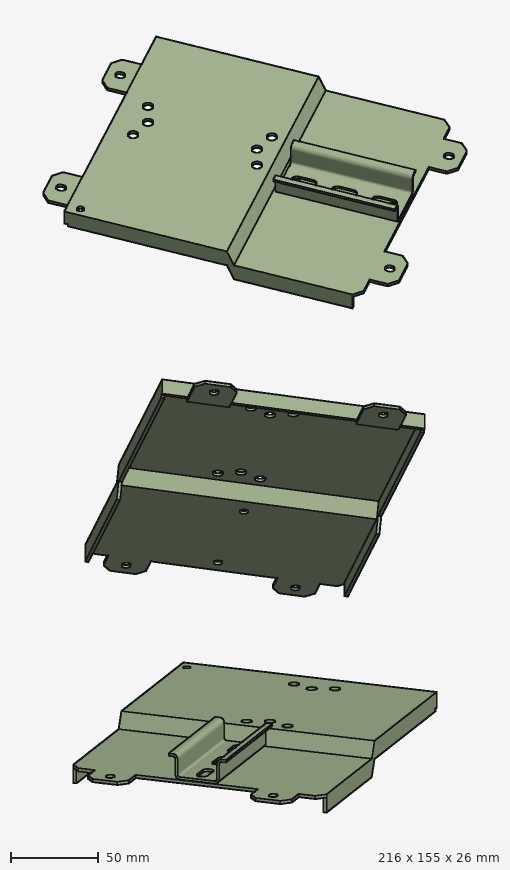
import cadquery as cq
import math

plate_width = 155.0
sheet = 2.0
skirt_height = 11.0
low_top = skirt_height
high_top = 20.5
wall_x = -88.0
jog_start_x = 10.8
jog_end_x = 15.1
plate_end_x = 92.0
corner_chamfer = 5.0

tab_tip_x = 108.0
tab_width = 25.0
tab_y = 50.0
tab_hole_inset = 8.2
tab_hole_length = 5.8
tab_hole_width = 5.0

pattern_x = -35.0
pattern_y = 8.6
pattern_pitch_y = 12.5
outer_hole_reach = 37.5
inner_hole_reach = 33.0
pattern_hole_diameter = 6.0
corner_hole_at = (-80.0, -72.4)
corner_hole_diameter = 4.0

rail_start_x = 17.3
rail_length = 73.9
rail_height = 15.0
rail_sheet = 1.5
rail_width = 35.0
channel_width = 27.0
bend_radius = 1.5
slot_length = 15.1
slot_width = 6.5
slot_pitch = 24.5
slot_offsets = (-slot_pitch, 0, slot_pitch)
rail_hole_reach = 29.4
rail_hole_diameter = 5.0

jog_drop = high_top - low_top
high_bottom = high_top - skirt_height
wall_inner_x = wall_x + sheet
skirt_end_x = plate_end_x - corner_chamfer
jog_angle = math.atan2(jog_drop, jog_end_x - jog_start_x)
bend_shift = sheet * math.tan(jog_angle / 2)
rail_middle_x = rail_start_x + rail_length / 2
drill_depth = 2 * high_top


def extrude_along_y(points, y_start, length):
    """Extrude an XZ outline from y_start towards +Y."""
    return cq.Workplane("XZ", origin=(0, y_start, 0)).polyline(points).close().extrude(-length)


def make_stepped_sheet():
    """End wall, upper step, slope and lower step as one bent sheet."""
    outline = [
        (wall_x, low_top),
        (wall_x, high_top),
        (jog_start_x, high_top),
        (jog_end_x, low_top),
        (plate_end_x, low_top),
        (plate_end_x, low_top - sheet),
        (jog_end_x - bend_shift, low_top - sheet),
        (jog_start_x - bend_shift, high_top - sheet),
        (wall_inner_x, high_top - sheet),
        (wall_inner_x, low_top),
    ]
    body = extrude_along_y(outline, -plate_width / 2, plate_width)
    return body.edges("|Z and >X").chamfer(corner_chamfer)


def make_skirt(y_start):
    """Side skirt that follows both steps; its foot is set back behind the end wall."""
    outline = [
        (wall_x, low_top),
        (wall_x, high_top),
        (jog_start_x, high_top),
        (jog_end_x, low_top),
        (skirt_end_x, low_top),
        (skirt_end_x, 0),
        (jog_end_x, 0),
        (jog_start_x, high_bottom),
        (wall_inner_x, high_bottom),
        (wall_inner_x, low_top),
    ]
    return extrude_along_y(outline, y_start, sheet)


def make_tab(root_x, side, y):
    """Flat tab from root_x to its chamfered tip; side is -1 for -X and +1 for +X."""
    tip_x = side * tab_tip_x
    tab = (
        cq.Workplane("XY", origin=((root_x + tip_x) / 2, y, low_top - sheet))
        .rect(abs(tip_x - root_x), tab_width)
        .extrude(sheet)
        .edges("|Z and <X" if side < 0 else "|Z and >X")
        .chamfer(corner_chamfer)
    )
    hole = (
        cq.Workplane("XY", origin=(tip_x - side * tab_hole_inset, y, 0))
        .slot2D(tab_hole_length, tab_hole_width)
        .extrude(drill_depth)
    )
    return tab.cut(hole)


def drill(points, diameter):
    """Cylinders that cut through the full height of the plate."""
    return cq.Workplane("XY").pushPoints(points).circle(diameter / 2).extrude(drill_depth)


def make_plate():
    plate = make_stepped_sheet()
    for skirt_y in (-plate_width / 2, plate_width / 2 - sheet):
        plate = plate.union(make_skirt(skirt_y))
    for y in (-tab_y, tab_y):
        plate = plate.union(make_tab(wall_inner_x, -1, y))
        plate = plate.union(make_tab(plate_end_x, 1, y))

    pattern = []
    for side in (-1, 1):
        pattern.append((pattern_x + side * inner_hole_reach, pattern_y))
        for row in (-1, 1):
            pattern.append((pattern_x + side * outer_hole_reach, pattern_y + row * pattern_pitch_y))
    rail_holes = [(rail_middle_x + side * rail_hole_reach, 0) for side in (-1, 1)]

    plate = plate.cut(drill(pattern, pattern_hole_diameter))
    plate = plate.cut(drill([corner_hole_at], corner_hole_diameter))
    return plate.cut(drill(rail_holes, rail_hole_diameter))


def make_rail():
    """Top-hat rail: a slotted channel with outward lips, bent from sheet."""
    web_outer = channel_width / 2
    web_inner = web_outer - rail_sheet
    lip_edge = rail_width / 2
    half_outline = [
        (0, 0),
        (web_outer, 0),
        (web_outer, rail_height - rail_sheet),
        (lip_edge, rail_height - rail_sheet),
        (lip_edge, rail_height),
        (web_inner, rail_height),
        (web_inner, rail_sheet),
        (0, rail_sheet),
    ]
    half = (
        cq.Workplane("YZ", origin=(rail_start_x, 0, low_top))
        .polyline(half_outline)
        .close()
        .extrude(rail_length)
    )

    def bend_edge(y, z):
        """Picks the lengthwise edge at width y and height z above the lower step."""
        return cq.selectors.NearestToPointSelector((rail_middle_x, y, low_top + z))

    concave_edges = bend_edge(web_inner, rail_sheet) + bend_edge(web_outer, rail_height - rail_sheet)
    half = half.edges(concave_edges).fillet(bend_radius)
    convex_edges = bend_edge(web_outer, 0) + bend_edge(web_inner, rail_height)
    half = half.edges(convex_edges).fillet(bend_radius + rail_sheet)

    slots = (
        cq.Workplane("XY", origin=(rail_middle_x, 0, low_top))
        .pushPoints([(offset, 0) for offset in slot_offsets])
        .slot2D(slot_length, slot_width)
        .extrude(rail_sheet)
    )
    return half.union(half.mirror("XZ")).cut(slots)


plate = make_plate().solids()
rail = make_rail().solids()

result = cq.Compound.makeCompound([plate.val(), rail.val()])